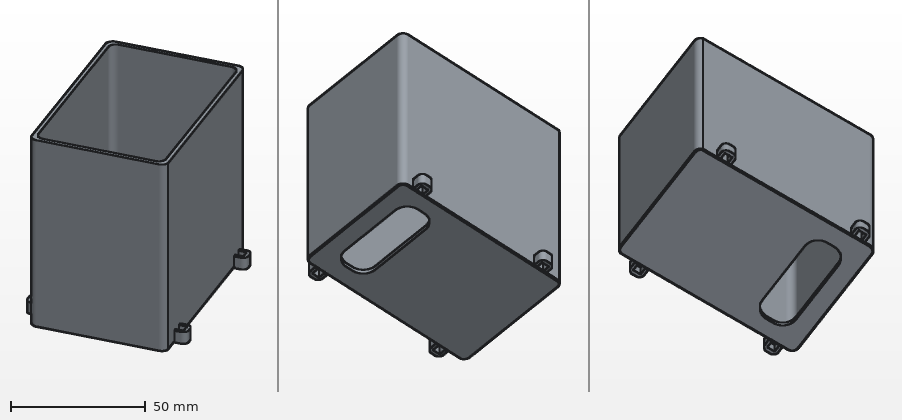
import cadquery as cq

wall = 1.8
cavity_x = 51.0
cavity_y = 76.1
box_x = cavity_x + 2 * wall
box_y = cavity_y + 2 * wall
box_height = 80.0
floor_thickness = 2.0
corner_radius = 3.0
base_chamfer = 0.4
base_taper = 45

front_corner_run_x = 2.8
front_corner_run_y = 2.0

opening_x = 40.0
opening_y = 15.0
opening_radius = 6.0
opening_center_x = -0.5
opening_center_y = 24.5

overall_x = 64.4
loop_reach = (overall_x - box_x) / 2
loop_width = 6.0
loop_height = 5.0
loop_radius = 2.2
loop_end_wall = 1.7
loop_arm = 1.4
loop_spacing = 60.0
loop_middle_y = 1.5
loop_centers_y = [loop_middle_y - loop_spacing / 2, loop_middle_y + loop_spacing / 2]


def box_outline(z):
    """Outer outline of the box at height z: the +X half, mirrored to the -X half."""
    side = box_x / 2
    end = box_y / 2
    return (
        cq.Workplane("XY", origin=(0, 0, z))
        .moveTo(0, -end)
        .lineTo(side - front_corner_run_x, -end)
        .tangentArcPoint((side, front_corner_run_y - end), relative=False)
        .lineTo(side, end - corner_radius)
        .tangentArcPoint((side - corner_radius, end), relative=False)
        .lineTo(0, end)
        .mirrorY()
    )


def make_shell():
    """Box hollowed from the top, with a chamfered base and an opening in the floor."""
    walls = box_outline(base_chamfer).extrude(box_height - base_chamfer)
    base = box_outline(base_chamfer).extrude(-base_chamfer, taper=base_taper)
    cavity = (
        cq.Workplane("XY", origin=(0, 0, floor_thickness))
        .rect(cavity_x, cavity_y)
        .extrude(box_height - floor_thickness)
        .edges("|Z")
        .fillet(corner_radius)
    )
    opening = (
        cq.Workplane("XY")
        .center(opening_center_x, opening_center_y)
        .rect(opening_x, opening_y)
        .extrude(floor_thickness)
        .edges("|Z")
        .fillet(opening_radius)
    )
    return walls.union(base).cut(cavity).cut(opening)


def make_loop(center_y):
    """U-shaped loop whose two arms end on the -X side of the box."""
    outer_x = -overall_x / 2
    outline = (
        cq.Workplane("XY")
        .center(outer_x + loop_reach / 2, center_y)
        .rect(loop_reach, loop_width)
        .extrude(loop_height)
        .edges("|Z and <X")
        .fillet(loop_radius)
    )
    window_x = loop_reach - loop_end_wall
    window = (
        cq.Workplane("XY")
        .center(outer_x + loop_end_wall + window_x / 2, center_y)
        .rect(window_x, loop_width - 2 * loop_arm)
        .extrude(loop_height)
    )
    return outline.cut(window)


def make_box():
    """Shell with the two +X loops built in as one solid."""
    box = make_shell()
    for center_y in loop_centers_y:
        box = box.union(make_loop(center_y).mirror("YZ"))
    return box


box = make_box()
side_loops = [make_loop(center_y) for center_y in loop_centers_y]

result = cq.Compound.makeCompound([box.solids().val(), *[loop.solids().val() for loop in side_loops]])